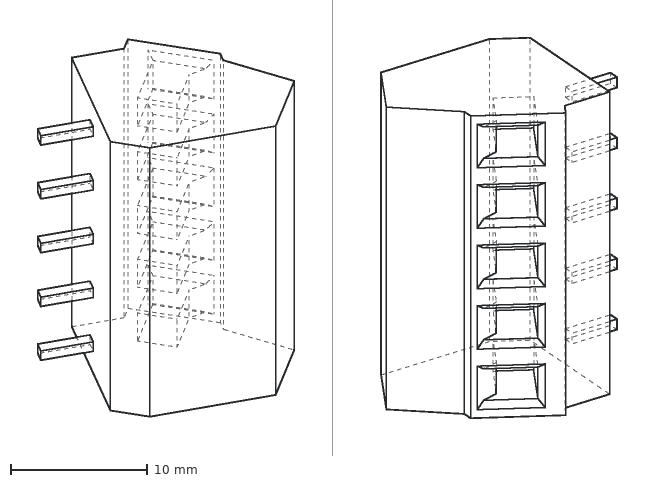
import cadquery as cq
import math

way_count = 5
way_pitch = 5.0
block_length = way_count * way_pitch

overall_width = 13.0
housing_depth = 15.0
step_y = 10.65
step_width = 0.82
lip_inset = 1.0
lip_tip_y = 4.58
chamfer_width = 1.5
shoulder_y = 12.2
entry_angle = math.radians(60)

pocket_start = 1.52
pocket_length = 5.0
pocket_depth = 5.12
pocket_height = 3.6
lead_in = 0.5
long_lead_in = 1.5

pin_size = 0.88
pin_length = 4.0
pin_x = 6.42

slope = math.tan(entry_angle)
step_x = (step_y - lip_tip_y) / slope
chamfer_y = chamfer_width * slope
peak_x = overall_width - (housing_depth - shoulder_y) * slope


def make_housing():
    """Prism with a lip, a slanted entry face, a step and a roof ridge."""
    outline = [
        (lip_inset, 0),
        (overall_width - chamfer_width, 0),
        (overall_width, chamfer_y),
        (overall_width, shoulder_y),
        (peak_x, housing_depth),
        (step_x + step_width, step_y),
        (step_x, step_y),
        (0, lip_tip_y),
        (lip_inset, lip_tip_y - lip_inset / slope),
    ]
    return cq.Workplane("XY").polyline(outline).close().extrude(block_length)


def make_pocket():
    """Funnel-mouthed pocket centred on Z = 0.

    Built with the distance up the entry face along X and the depth along -Y,
    then turned onto the entry face.
    """
    side_outline = [
        (0, 0),
        (lead_in, -lead_in),
        (lead_in, -pocket_depth),
        (pocket_length - long_lead_in, -pocket_depth),
        (pocket_length - long_lead_in, -long_lead_in),
        (pocket_length, 0),
    ]
    half_mouth = pocket_height / 2
    half_throat = half_mouth - lead_in
    end_outline = [
        (-lead_in, half_throat),
        (-pocket_depth, half_throat),
        (-pocket_depth, -half_throat),
        (-lead_in, -half_throat),
        (0, -half_mouth),
        (0, half_mouth),
    ]
    side_prism = (
        cq.Workplane("XY").polyline(side_outline).close().extrude(half_mouth, both=True)
    )
    end_prism = cq.Workplane("YZ").polyline(end_outline).close().extrude(pocket_length)
    return (
        side_prism.intersect(end_prism)
        .translate((pocket_start, 0, 0))
        .rotate((0, 0, 0), (0, 0, 1), math.degrees(entry_angle))
        .translate((0, lip_tip_y, 0))
    )


def make_pin():
    """Square pin centred on Z = 0, standing on the pin side of the housing."""
    return cq.Workplane("XY").box(pin_size, pin_length, pin_size).translate(
        (pin_x, -pin_length / 2, 0)
    )


result = make_housing()
for way in range(way_count):
    way_z = (way + 0.5) * way_pitch
    result = result.cut(make_pocket().translate((0, 0, way_z)))
    result = result.union(make_pin().translate((0, 0, way_z)))